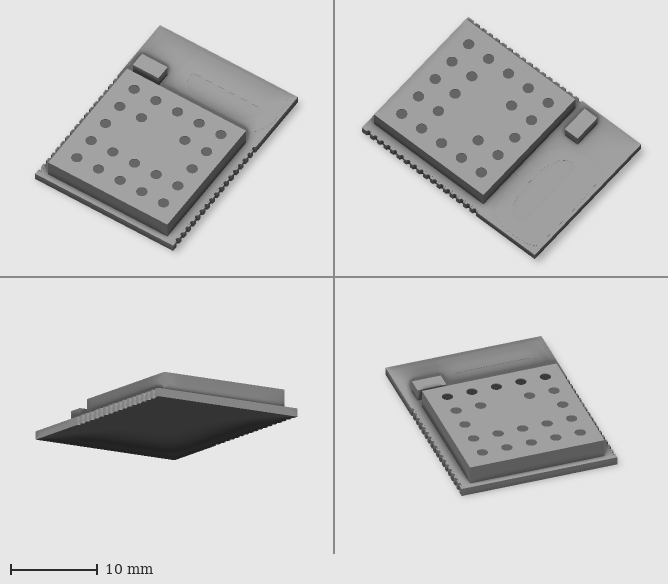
import cadquery as cq

board_width = 19.12
board_length = 26.12
total_height = 3.2
shield_height = 2.22
board_thickness = total_height - shield_height
copper_thickness = 0.03

shield_side = 16.5
shield_center_y = -4.05
shield_wall = 0.1
shield_back_y = shield_center_y + shield_side / 2

vent_diameter = 1.3
vent_pitch = 3.0
vent_center_x = 0.13
vent_center_y = -3.9
vent_rows = (
    "ooooo",
    "oo.oo",
    "o...o",
    "ooooo",
    "ooooo",
)

chip_width = 3.55
chip_length = 1.93
chip_height = 1.44
chip_left_x = -8.33
chip_front_y = 5.55

pad_count = 17
pad_row_length = 15.99
pad_pitch = pad_row_length / (pad_count - 1)
pad_row_back_y = 3.95
pad_width = 0.8
pad_depth = 0.4
notch_radius = 0.25
pad_row_ys = [pad_row_back_y - i * pad_pitch for i in range(pad_count)]

feed_left_x = 2.35
feed_right_x = 2.75
feed_start_y = shield_back_y - shield_wall / 2
loop_back_y = 12.67
loop_step_y = 12.49
loop_left_x = -4.07
window_back_y = 9.3
window_front_y = 6.4


def make_board():
    return cq.Workplane("XY").box(
        board_width, board_length, board_thickness, centered=(True, True, False)
    )


def make_chip():
    return (
        cq.Workplane("XY", origin=(chip_left_x, chip_front_y, board_thickness))
        .box(chip_width, chip_length, chip_height, centered=False)
    )


def make_shield():
    can = (
        cq.Workplane("XY", origin=(0, shield_center_y, board_thickness))
        .box(shield_side, shield_side, shield_height, centered=(True, True, False))
        .faces("<Z")
        .shell(-shield_wall)
    )
    middle = (len(vent_rows) - 1) / 2
    vent_points = [
        (vent_center_x + (column - middle) * vent_pitch, vent_center_y + (middle - row) * vent_pitch)
        for row, marks in enumerate(vent_rows)
        for column, mark in enumerate(marks)
        if mark == "o"
    ]
    vents = (
        cq.Workplane("XY", origin=(0, 0, board_thickness))
        .pushPoints(vent_points)
        .circle(vent_diameter / 2)
        .extrude(shield_height)
    )
    return can.cut(vents)


def make_antenna():
    """Thin copper loop with a D-shaped window and a feed strip running to the shield."""
    loop = (
        cq.Workplane("XY", origin=(0, 0, board_thickness))
        .moveTo(feed_right_x, feed_start_y)
        .lineTo(feed_right_x, 4.57)
        .threePointArc((2.82, 4.75), (2.98, 4.8))
        .spline(
            [(4.5, 4.9), (6.27, 5.17), (7.31, 5.55), (8.3, 6.22), (8.88, 7.18),
             (9.22, 8.57), (9.15, 9.93), (9.0, 11.18), (8.75, 12.0), (8.23, 12.56), (7.8, loop_back_y)],
            includeCurrent=True,
        )
        .lineTo(1.65, loop_back_y)
        .lineTo(-0.57, loop_step_y)
        .lineTo(-2.8, loop_step_y)
        .threePointArc((-3.19, 12.45), (-3.42, 12.33))
        .spline([(-3.81, 11.47), (-4.0, 10.5), (loop_left_x, 9.35)], includeCurrent=True)
        .lineTo(loop_left_x, 7.8)
        .threePointArc((-3.87, 7.03), (-3.37, 6.5))
        .lineTo(-2.22, 5.55)
        .spline([(-1.35, 5.15), (-0.1, 4.85), (2.0, 4.7)], includeCurrent=True)
        .threePointArc((2.25, 4.55), (feed_left_x, 4.28))
        .lineTo(feed_left_x, feed_start_y)
        .close()
        .extrude(copper_thickness)
    )
    window = (
        cq.Workplane("XY", origin=(0, 0, board_thickness))
        .moveTo(-2.35, window_back_y)
        .lineTo(6.65, window_back_y)
        .threePointArc((7.25, 9.0), (7.47, 8.5))
        .spline([(7.18, 7.8), (6.27, 7.03), (5.3, 6.65), (3.95, window_front_y)], includeCurrent=True)
        .lineTo(0.85, window_front_y)
        .spline([(-0.47, 6.63), (-1.55, 7.08), (-2.27, 7.7), (-2.53, 8.5)], includeCurrent=True)
        .threePointArc((-2.5, 8.99), (-2.35, window_back_y))
        .close()
        .extrude(copper_thickness)
    )
    return loop.cut(window)


def make_pads():
    pad_center_x = (board_width - pad_depth) / 2
    points = [(side * pad_center_x, y) for side in (-1, 1) for y in pad_row_ys]
    return (
        cq.Workplane("XY", origin=(0, 0, board_thickness))
        .pushPoints(points)
        .rect(pad_depth, pad_width)
        .extrude(copper_thickness)
    )


def make_notches():
    points = [(side * board_width / 2, y) for side in (-1, 1) for y in pad_row_ys]
    return (
        cq.Workplane("XY")
        .pushPoints(points)
        .circle(notch_radius)
        .extrude(board_thickness + copper_thickness)
    )


result = (
    make_board()
    .union(make_antenna())
    .union(make_pads())
    .cut(make_notches())
    .union(make_shield())
    .union(make_chip())
)